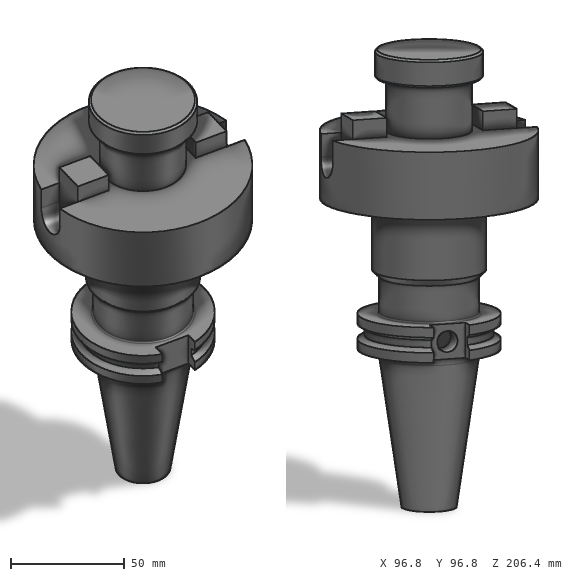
import cadquery as cq
import math

INCH = 25.4
total_length = 206.43

gauge_dia = 1.75 * INCH
taper_length = 2.687 * INCH
taper_ratio = 7 / 24
taper_end_dia = gauge_dia - taper_length * taper_ratio

flange_dia = 2.5 * INCH
flange_bottom = 0.125 * INCH
flange_top = 0.75 * INCH
groove_centre = 0.4365 * INCH
groove_dia = 2.26 * INCH
groove_mouth = 0.272 * INCH
groove_side_angle = 30
groove_depth = (flange_dia - groove_dia) / 2
groove_floor = groove_mouth - 2 * groove_depth * math.tan(math.radians(groove_side_angle))

drive_slot_width = 0.66 * INCH
drive_slot_floor = 0.985 * INCH
slot_hole_dia = 0.375 * INCH
slot_hole_depth = slot_hole_dia

neck_dia = gauge_dia
neck_fillet = 0.03 * INCH
body_dia = 2.0 * INCH
body_length = 32.1
body_chamfer = (body_dia - neck_dia) / 2

head_top = 4.0 * INCH
head_thickness = 1.2 * INCH
head_bottom = head_top - head_thickness
head_dia = 3.81 * INCH
pilot_dia = 1.5 * INCH
pilot_height = 0.94 * INCH
pilot_top = head_top + pilot_height
body_bottom = head_bottom - body_length

key_width = 0.625 * INCH
key_length = key_width
key_inner = 22.5
key_outer = key_inner + key_length
key_projection = 0.34 * INCH
key_seat_depth = 0.715 * INCH
key_top = head_top + key_projection
key_bottom = head_top - key_seat_depth

screw_dia = 48.0
screw_height = total_length - taper_length - pilot_top
screw_chamfer = 0.04 * INCH


def turned_blank():
    """Solid of revolution from the taper end to the top of the pilot."""
    groove_points = [
        (flange_dia / 2, groove_centre - groove_mouth / 2),
        (groove_dia / 2, groove_centre - groove_floor / 2),
        (groove_dia / 2, groove_centre + groove_floor / 2),
        (flange_dia / 2, groove_centre + groove_mouth / 2),
    ]
    lower_points = [
        (0, -taper_length),
        (taper_end_dia / 2, -taper_length),
        (gauge_dia / 2, 0),
        (gauge_dia / 2, flange_bottom),
        (flange_dia / 2, flange_bottom),
        *groove_points,
        (flange_dia / 2, flange_top),
        (neck_dia / 2 + neck_fillet, flange_top),
    ]
    fillet_end = (neck_dia / 2, flange_top + neck_fillet)
    upper_points = [
        (neck_dia / 2, body_bottom - body_chamfer),
        (body_dia / 2, body_bottom),
        (body_dia / 2, head_bottom),
        (head_dia / 2, head_bottom),
        (head_dia / 2, head_top),
        (pilot_dia / 2, head_top),
        (pilot_dia / 2, pilot_top),
        (0, pilot_top),
    ]
    profile = cq.Workplane("XZ").polyline(lower_points)
    profile = profile.tangentArcPoint(fillet_end, relative=False)
    for point in upper_points:
        profile = profile.lineTo(*point)
    return profile.close().revolve(360, (0, 0), (0, 1))


def round_bottom_bar(side, inner, outer, top):
    """Bar along Y with a round bottom, between two distances from the axis on one Y side."""
    radius = key_width / 2
    bar = (
        cq.Workplane("XZ")
        .moveTo(-radius, top)
        .lineTo(-radius, key_bottom + radius)
        .threePointArc((0, key_bottom), (radius, key_bottom + radius))
        .lineTo(radius, top)
        .close()
        .extrude(-(outer - inner))
        .translate((0, inner, 0))
    )
    return bar if side > 0 else bar.rotate((0, 0, 0), (0, 0, 1), 180)


def drive_slot(side):
    """Block that cuts one drive slot through the gripper flange."""
    depth = flange_dia / 2 - drive_slot_floor
    height = flange_top - flange_bottom
    slot_centre = (side * (drive_slot_floor + depth / 2), 0, flange_bottom)
    block = cq.Workplane("XY", origin=slot_centre)
    return block.box(depth, drive_slot_width, height, centered=(True, True, False))


def make_arbor():
    arbor = turned_blank()
    for side in (-1, 1):
        arbor = arbor.cut(round_bottom_bar(side, key_inner, head_dia / 2, head_top))
        arbor = arbor.cut(drive_slot(side))
    slot_hole = (
        cq.Workplane("YZ", origin=(-drive_slot_floor, 0, groove_centre))
        .circle(slot_hole_dia / 2)
        .extrude(slot_hole_depth)
    )
    return arbor.cut(slot_hole)


def make_key(side):
    return round_bottom_bar(side, key_inner, key_outer, key_top)


def make_screw_head():
    return (
        cq.Workplane("XY", origin=(0, 0, pilot_top))
        .circle(screw_dia / 2)
        .extrude(screw_height)
        .edges()
        .chamfer(screw_chamfer)
    )


arbor = make_arbor()
keys = [make_key(side) for side in (-1, 1)]
screw_head = make_screw_head()

result = cq.Compound.makeCompound([arbor.val(), *[key.val() for key in keys], screw_head.val()])